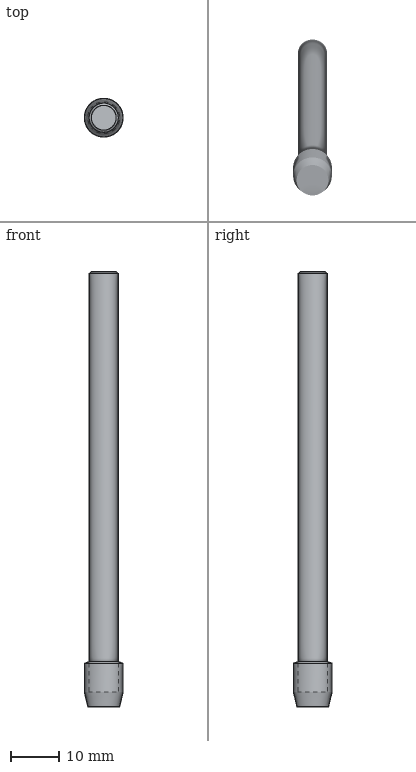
import cadquery as cq

total_length = 90.0

rod_diameter = 6.0
rod_chamfer = 0.45

tip_diameter = 8.0
tip_end_diameter = 6.6
tip_length = 9.4
taper_length = 3.1
shoulder_height = 0.4
socket_floor = taper_length


def make_rod():
    """Round rod standing on the socket floor of the tip."""
    return (
        cq.Workplane("XY")
        .workplane(offset=socket_floor)
        .circle(rod_diameter / 2)
        .extrude(total_length - socket_floor)
        .faces(">Z")
        .chamfer(rod_chamfer)
    )


def make_tip():
    """Turned tip with a blind socket that holds the rod."""
    tip_radius = tip_diameter / 2
    rod_radius = rod_diameter / 2
    half_section = [
        (0, 0),
        (tip_end_diameter / 2, 0),
        (tip_radius, taper_length),
        (tip_radius, tip_length - shoulder_height),
        (rod_radius, tip_length),
        (rod_radius, socket_floor),
        (0, socket_floor),
    ]
    return cq.Workplane("XZ").polyline(half_section).close().revolve(360, (0, 0), (0, 1))


rod = make_rod()
tip = make_tip()

result = cq.Compound.makeCompound([rod.val(), tip.val()])